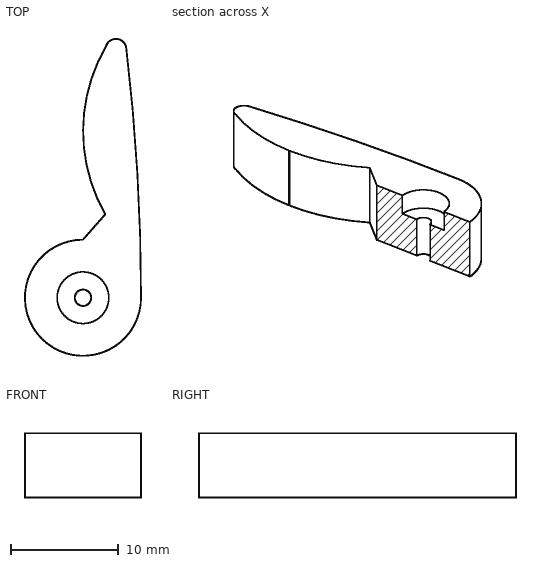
import cadquery as cq
import math

thickness = 6.0
total_length = 29.4
hub_diameter = 10.8
bore_diameter = 1.5
counterbore_diameter = 4.8
counterbore_depth = 2.0

hub_radius = hub_diameter / 2
tip_y = total_length - hub_radius
tip_x = 3.05
back_end = (4.03, 23.12)
belly_end = (2.12, 23.3)
belly_start = (2.05, 7.73)
belly_middle = (0, (belly_start[1] + belly_end[1]) / 2)

back_sagitta = hub_radius - back_end[0]
back_radius = (back_end[1] ** 2 + back_sagitta ** 2) / (2 * back_sagitta)
back_half_angle = math.asin(back_end[1] / back_radius) / 2
back_middle = (
    hub_radius - back_radius * (1 - math.cos(back_half_angle)),
    back_radius * math.sin(back_half_angle),
)


def make_body():
    """Hub and curved lever as one extruded outline."""
    hub_lower_left = (-hub_radius * math.sqrt(0.5), -hub_radius * math.sqrt(0.5))
    return (
        cq.Workplane("XY")
        .moveTo(hub_radius, 0)
        .threePointArc(back_middle, back_end)
        .threePointArc((tip_x, tip_y), belly_end)
        .threePointArc(belly_middle, belly_start)
        .lineTo(0, hub_radius)
        .threePointArc(hub_lower_left, (hub_radius, 0))
        .close()
        .extrude(thickness)
    )


def drill_pivot(body):
    """Through bore with a counterbore in the upper face."""
    return (
        body.faces(">Z")
        .workplane(origin=(0, 0, thickness))
        .cboreHole(bore_diameter, counterbore_diameter, counterbore_depth)
    )


result = drill_pivot(make_body())